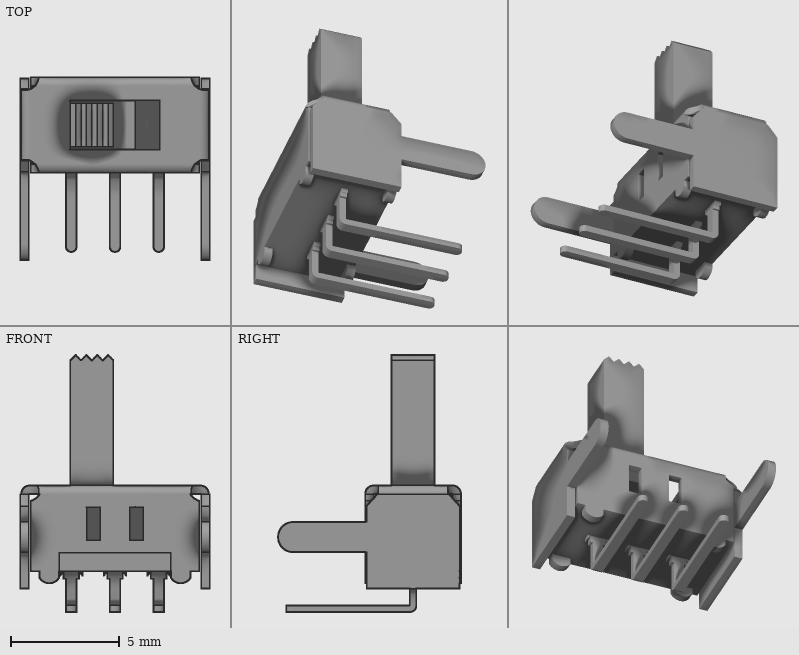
import cadquery as cq


OVERALL_X = 8.7
OVERALL_Y = 8.4
OVERALL_Z = 11.8

SHEET = 0.4
END_PLATE_OUTER_X = OVERALL_X / 2
END_BEND_OUTER_X = 4.31
SIDE_PLATE_HALF_X = 3.87
FRAME_HALF_Y = 2.201
INNER_Y = FRAME_HALF_Y - SHEET

END_PLATE_HALF_Y = 2.14
END_PLATE_BOTTOM = -4.73
END_PLATE_CHAMFER_Y = 0.48
END_PLATE_CHAMFER_Z = 0.55

TAB_TOP = -1.68
TAB_BOTTOM = -3.07
TAB_RADIUS = (TAB_TOP - TAB_BOTTOM) / 2
TAB_TIP_Y = FRAME_HALF_Y - OVERALL_Y
TAB_MID_Z = (TAB_TOP + TAB_BOTTOM) / 2

SIDE_PLATE_BOTTOM = -3.94
FOOT_INNER_X = 2.56
FOOT_OUTER_X = 3.47
FOOT_SHOULDER = -4.24
FOOT_BOTTOM = -4.5

SLOT_HALF_X = 2.05
SLOT_HALF_Y = 1.15

WINDOW_WIDTH = 0.61
WINDOW_TOP = -1.0
WINDOW_BOTTOM = -2.51
WINDOW_OFFSET_X = 0.99

TOP_RELIEF_X = 4.15
TOP_RELIEF_Y = 2.25
TOP_RELIEF_RADIUS = 0.66
SIDE_RELIEF_X = 4.1
SIDE_RELIEF_Z = 0.02
SIDE_RELIEF_RADIUS = 0.77

STEM_WIDTH = 1.98
STEM_HALF_Y = STEM_WIDTH / 2
STEM_LEFT = -SLOT_HALF_X
STEM_MID_X = STEM_LEFT + STEM_WIDTH / 2
STEM_TOP = 5.98
TOOTH_COUNT = 4
TOOTH_PITCH = STEM_WIDTH / TOOTH_COUNT
TOOTH_HEIGHT = TOOTH_PITCH / 2
FLANGE_LENGTH = 3.96
FLANGE_WIDTH = 2.24
FLANGE_BOTTOM = WINDOW_TOP

BASE_TOP = -3.09
TERMINAL_PITCH = 2.01
TERMINAL_BOTTOM = STEM_TOP - OVERALL_Z
TERMINAL_WIDTH = 0.5
TERMINAL_THICKNESS = 0.31
TERMINAL_TIP_Y = -5.83
SHOULDER_WIDTH = 0.73
SHOULDER_BOTTOM = -4.3
BARB_OUTER = 0.52
BARB_DEPTH = 0.21


def box(x_min, x_max, y_min, y_max, z_min, z_max):
    """Axis-aligned block between the given limits."""
    size = (x_max - x_min, y_max - y_min, z_max - z_min)
    return cq.Workplane("XY").box(*size, centered=False).translate((x_min, y_min, z_min))


def make_top_plate():
    """Slotted top sheet with the four rounded bends and the relieved corners."""
    blank_bottom = -2 * SHEET
    rounded = box(-END_BEND_OUTER_X, END_BEND_OUTER_X, -FRAME_HALF_Y, FRAME_HALF_Y, blank_bottom, 0)
    rounded = rounded.faces(">Z").edges().fillet(SHEET)
    lower = box(-END_BEND_OUTER_X, END_BEND_OUTER_X, -FRAME_HALF_Y, FRAME_HALF_Y, blank_bottom, -SHEET)
    slot = box(-SLOT_HALF_X, SLOT_HALF_X, -SLOT_HALF_Y, SLOT_HALF_Y, -SHEET, 0)
    reliefs = (
        cq.Workplane("XY")
        .rect(2 * TOP_RELIEF_X, 2 * TOP_RELIEF_Y, forConstruction=True)
        .vertices()
        .circle(TOP_RELIEF_RADIUS)
        .extrude(-SHEET)
    )
    return rounded.cut(lower).cut(slot).cut(reliefs)


def make_end_plate():
    """Plate at the -X end with chamfered top corners and a round-ended mounting tab."""
    chamfer_z = -SHEET - END_PLATE_CHAMFER_Z
    top_half_y = END_PLATE_HALF_Y - END_PLATE_CHAMFER_Y
    tab_round_y = TAB_TIP_Y + TAB_RADIUS
    return (
        cq.Workplane("YZ", origin=(-END_PLATE_OUTER_X, 0, 0))
        .moveTo(top_half_y, -SHEET)
        .lineTo(END_PLATE_HALF_Y, chamfer_z)
        .lineTo(END_PLATE_HALF_Y, END_PLATE_BOTTOM)
        .lineTo(-END_PLATE_HALF_Y, END_PLATE_BOTTOM)
        .lineTo(-END_PLATE_HALF_Y, TAB_BOTTOM)
        .lineTo(tab_round_y, TAB_BOTTOM)
        .threePointArc((TAB_TIP_Y, TAB_MID_Z), (tab_round_y, TAB_TOP))
        .lineTo(-END_PLATE_HALF_Y, TAB_TOP)
        .lineTo(-END_PLATE_HALF_Y, chamfer_z)
        .lineTo(-top_half_y, -SHEET)
        .close()
        .extrude(SHEET)
    )


def make_side_plate():
    """Plate at the -Y side with two round-ended feet, a notch between them and relieved corners."""
    foot_mid_x = (FOOT_INNER_X + FOOT_OUTER_X) / 2
    plate = (
        cq.Workplane("XZ", origin=(0, -INNER_Y, 0))
        .moveTo(-SIDE_PLATE_HALF_X, -SHEET)
        .lineTo(-SIDE_PLATE_HALF_X, SIDE_PLATE_BOTTOM)
        .lineTo(-FOOT_OUTER_X, SIDE_PLATE_BOTTOM)
        .lineTo(-FOOT_OUTER_X, FOOT_SHOULDER)
        .threePointArc((-foot_mid_x, FOOT_BOTTOM), (-FOOT_INNER_X, FOOT_SHOULDER))
        .lineTo(-FOOT_INNER_X, BASE_TOP)
        .lineTo(FOOT_INNER_X, BASE_TOP)
        .lineTo(FOOT_INNER_X, FOOT_SHOULDER)
        .threePointArc((foot_mid_x, FOOT_BOTTOM), (FOOT_OUTER_X, FOOT_SHOULDER))
        .lineTo(FOOT_OUTER_X, SIDE_PLATE_BOTTOM)
        .lineTo(SIDE_PLATE_HALF_X, SIDE_PLATE_BOTTOM)
        .lineTo(SIDE_PLATE_HALF_X, -SHEET)
        .close()
        .extrude(SHEET)
    )
    reliefs = (
        cq.Workplane("XZ", origin=(0, -INNER_Y, 0))
        .pushPoints([(-SIDE_RELIEF_X, SIDE_RELIEF_Z), (SIDE_RELIEF_X, SIDE_RELIEF_Z)])
        .circle(SIDE_RELIEF_RADIUS)
        .extrude(SHEET)
    )
    return plate.cut(reliefs)


def make_windows():
    """Cutter for the two windows through the -Y side plate."""
    window_mid_z = (WINDOW_TOP + WINDOW_BOTTOM) / 2
    return (
        cq.Workplane("XZ", origin=(0, -INNER_Y, 0))
        .pushPoints([(-WINDOW_OFFSET_X, window_mid_z), (WINDOW_OFFSET_X, window_mid_z)])
        .rect(WINDOW_WIDTH, WINDOW_TOP - WINDOW_BOTTOM)
        .extrude(SHEET)
    )


def make_frame():
    """Frame: top plate, two end plates and two side plates as one solid."""
    end_plate = make_end_plate()
    side_plate = make_side_plate()
    return (
        make_top_plate()
        .union(end_plate)
        .union(end_plate.mirror("YZ"))
        .union(side_plate.cut(make_windows()))
        .union(side_plate.mirror("XZ"))
    )


def make_slider():
    """Square stem with a toothed top, on a flange held under the top plate."""
    valley_z = STEM_TOP - TOOTH_HEIGHT
    outline = cq.Workplane("XZ", origin=(0, STEM_HALF_Y, 0))
    outline = outline.moveTo(STEM_LEFT, -SHEET).lineTo(STEM_LEFT, valley_z)
    for tooth in range(TOOTH_COUNT):
        tooth_left = STEM_LEFT + tooth * TOOTH_PITCH
        outline = outline.lineTo(tooth_left + TOOTH_PITCH / 2, STEM_TOP)
        outline = outline.lineTo(tooth_left + TOOTH_PITCH, valley_z)
    stem = outline.lineTo(STEM_LEFT + STEM_WIDTH, -SHEET).close().extrude(2 * STEM_HALF_Y)
    flange = box(
        STEM_MID_X - FLANGE_LENGTH / 2, STEM_MID_X + FLANGE_LENGTH / 2,
        -FLANGE_WIDTH / 2, FLANGE_WIDTH / 2,
        FLANGE_BOTTOM, -SHEET,
    )
    return stem.union(flange)


def make_terminal(mid_x):
    """Right-angle terminal: barbed shoulder under the base, leg bent toward -Y, round tip."""
    half_thickness = TERMINAL_THICKNESS / 2
    half_width = TERMINAL_WIDTH / 2
    half_shoulder = SHOULDER_WIDTH / 2
    inner_bottom = TERMINAL_BOTTOM + TERMINAL_THICKNESS
    tip_mid_y = TERMINAL_TIP_Y + half_width

    strip = (
        cq.Workplane("YZ", origin=(-half_width, 0, 0))
        .moveTo(half_thickness, SIDE_PLATE_BOTTOM)
        .lineTo(half_thickness, inner_bottom)
        .radiusArc((-half_thickness, TERMINAL_BOTTOM), TERMINAL_THICKNESS)
        .lineTo(tip_mid_y, TERMINAL_BOTTOM)
        .lineTo(tip_mid_y, inner_bottom)
        .lineTo(-half_thickness, inner_bottom)
        .lineTo(-half_thickness, SIDE_PLATE_BOTTOM)
        .close()
        .extrude(TERMINAL_WIDTH)
    )
    tip = (
        cq.Workplane("XY", origin=(0, tip_mid_y, TERMINAL_BOTTOM))
        .circle(half_width)
        .extrude(TERMINAL_THICKNESS)
    )
    shoulder = box(
        -half_shoulder, half_shoulder,
        -half_thickness, half_thickness,
        SHOULDER_BOTTOM, SIDE_PLATE_BOTTOM,
    )
    terminal = strip.union(tip).union(shoulder)
    for side in (-1, 1):
        barb = (
            cq.Workplane("XZ", origin=(0, half_thickness, SIDE_PLATE_BOTTOM))
            .moveTo(side * half_shoulder, 0)
            .lineTo(side * BARB_OUTER, 0)
            .lineTo(side * BARB_OUTER, -BARB_DEPTH)
            .close()
            .extrude(TERMINAL_THICKNESS)
        )
        terminal = terminal.union(barb)
    return terminal.translate((mid_x, 0, 0))


def make_base():
    """Floor between the plates, filling the notches of both side plates, with three terminals."""
    base = box(
        -SIDE_PLATE_HALF_X, SIDE_PLATE_HALF_X,
        -INNER_Y, INNER_Y,
        SIDE_PLATE_BOTTOM, BASE_TOP,
    )
    base = base.union(
        box(
            -FOOT_INNER_X, FOOT_INNER_X,
            -FRAME_HALF_Y, FRAME_HALF_Y,
            SIDE_PLATE_BOTTOM, BASE_TOP,
        )
    )
    for position in (-1, 0, 1):
        base = base.union(make_terminal(position * TERMINAL_PITCH))
    return base


frame = make_frame().solids()
slider = make_slider().solids()
base = make_base().solids()

result = cq.Compound.makeCompound([frame.val(), slider.val(), base.val()])